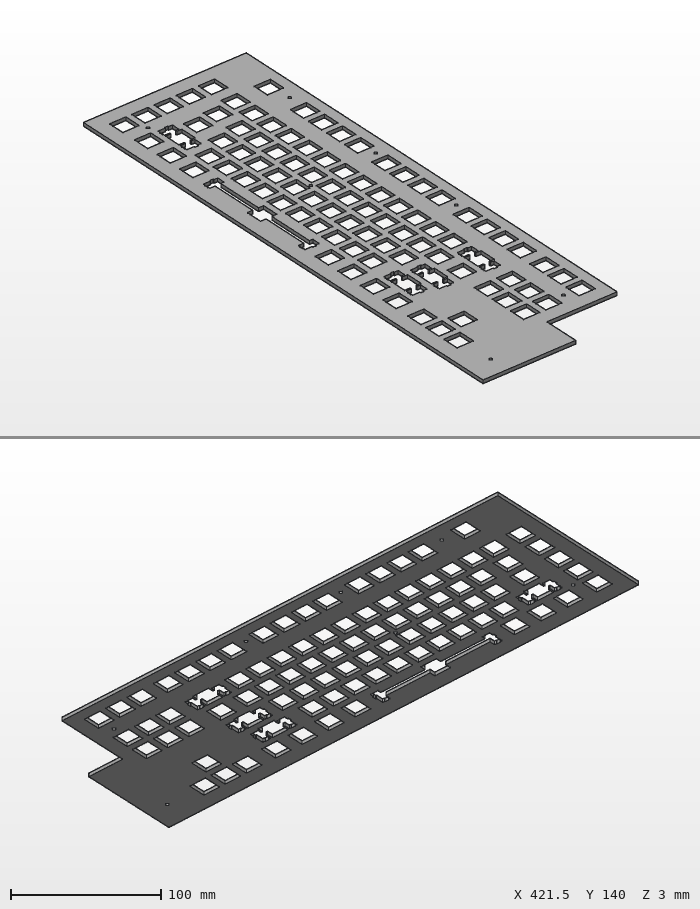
import cadquery as cq

plate_length = 421.5
plate_width = 140.0
plate_thickness = 3.0
notch_length = 30.5
notch_width = 60.3

main_block_length = 285.8
main_block_keys = 15
pitch = main_block_length / main_block_keys
main_block_left = 33.7
bottom_row_y = 19.5
function_row_gap = 0.5
key_web = 5.0
cutout_size = pitch - key_web

stabilizer_width = 6.7
stabilizer_top = 5.5
stabilizer_bottom = 6.7
wire_slot_top = 2.6
wire_slot_bottom = 2.3
side_notch_depth = 1.0
side_notch_top = 2.3
side_notch_bottom = 0.5
foot_length = 3.3
foot_depth = 0.5
short_stabilizer_offset = 12.0
space_stabilizer_offset = 50.0

hole_diameter = 2.5
top_hole_y = 126.5
hole_centers = [
    (62.5, top_hole_y),
    (153.0, top_hole_y),
    (238.0, top_hole_y),
    (371.7, 109.5),
    (157.5, 67.0),
    (32.5, 29.0),
    (404.0, 20.5),
]


steps_per_pitch = 4
step = pitch / steps_per_pitch
single = steps_per_pitch
stabilized_width = 2 * single
space_width = 25
macro_start = -5
navigation_start = 61
up_arrow_start = navigation_start + single
function_group_starts = [8, 26, 44]

macro_key = (macro_start, [single])
navigation_keys = (navigation_start, 3 * [single])
up_arrow_key = (up_arrow_start, [single])
escape_key = (0, [single])
function_keys = [(start, 4 * [single]) for start in function_group_starts]

bottom_widths = [5, 5, 5, space_width, 5, 5, 5, 5]
shift_widths = [9] + 10 * [single] + [11]
home_widths = [7] + 11 * [single] + [9]
upper_widths = [6] + 12 * [single] + [6]
number_widths = 13 * [single] + [8]

key_rows = [
    (0, [macro_key, (0, bottom_widths), navigation_keys]),
    (1, [macro_key, (0, shift_widths), up_arrow_key]),
    (2, [macro_key, (0, home_widths)]),
    (3, [macro_key, (0, upper_widths), navigation_keys]),
    (4, [macro_key, (0, number_widths), navigation_keys]),
    (5 + function_row_gap, [escape_key] + function_keys + [navigation_keys]),
]


def place_keys():
    """Center and width in steps of every key."""
    keys = []
    for row, groups in key_rows:
        y = bottom_row_y + row * pitch
        for left, widths in groups:
            for width in widths:
                x = main_block_left + (left + width / 2) * step
                keys.append((x, y, width))
                left += width
    return keys


def through_box(x_min, x_max, y_min, y_max):
    """Box through the full plate thickness."""
    block = cq.Workplane("XY").box(x_max - x_min, y_max - y_min, plate_thickness, centered=False)
    return block.translate((x_min, y_min, 0))


def make_plate():
    notch_x = plate_length - notch_length
    notch_y = plate_width - notch_width
    blank = through_box(0, plate_length, 0, plate_width)
    return blank.cut(through_box(notch_x, plate_length, notch_y, plate_width))


def stabilizer_opening(offset):
    """Both stabilizer pockets and the wire slot joining them, around a key at the origin."""
    half_width = stabilizer_width / 2
    half_foot = foot_length / 2
    opening = through_box(-offset, offset, -wire_slot_bottom, wire_slot_top)
    for side in (-1, 1):
        center = side * offset
        notch_edge = center + side * (half_width + side_notch_depth)
        notch_left, notch_right = sorted((center, notch_edge))
        pocket = through_box(center - half_width, center + half_width, -stabilizer_bottom, stabilizer_top)
        foot = through_box(center - half_foot, center + half_foot, -stabilizer_bottom - foot_depth, 0)
        side_notch = through_box(notch_left, notch_right, -side_notch_bottom, side_notch_top)
        opening = opening.union(pocket).union(foot).union(side_notch)
    return opening


def cut_keys(plate, keys):
    centers = [(x, y) for x, y, width in keys]
    return (
        plate.faces(">Z")
        .workplane(origin=(0, 0, plate_thickness))
        .pushPoints(centers)
        .rect(cutout_size, cutout_size)
        .cutThruAll()
    )


def cut_stabilizers(plate, keys):
    for x, y, width in keys:
        if width >= stabilized_width:
            offset = space_stabilizer_offset if width == space_width else short_stabilizer_offset
            plate = plate.cut(stabilizer_opening(offset).translate((x, y, 0)))
    return plate


def cut_screw_holes(plate):
    return (
        plate.faces(">Z")
        .workplane(origin=(0, 0, plate_thickness))
        .pushPoints(hole_centers)
        .hole(hole_diameter)
    )


keys = place_keys()
plate = cut_keys(make_plate(), keys)
plate = cut_stabilizers(plate, keys)
result = cut_screw_holes(plate)